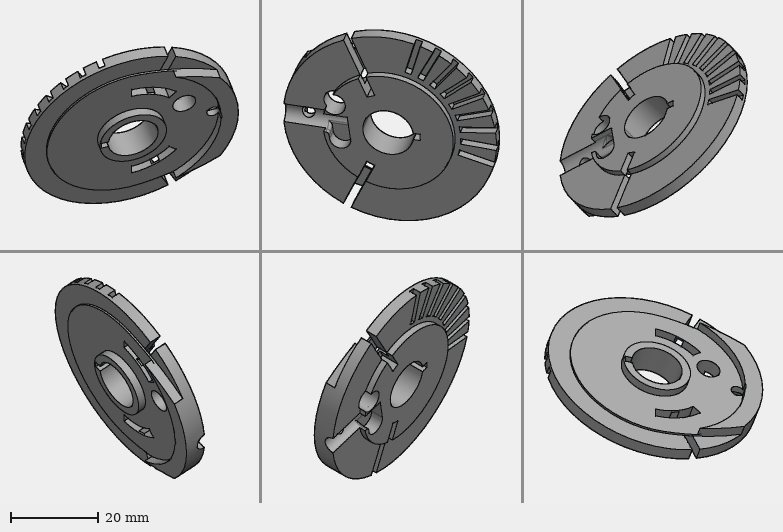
import cadquery as cq
import math

hub_face = 0.0
disc_face = 1.6
disc_back = 4.5
pad_back = 5.0
rear_face = 7.0
clearance = 1.0

rim_radius = 50.65 / 2
front_hub_radius = 15.5
bore_radius = 6.0
rear_hub_radius = 8.0
pad_radius = 20.15
lobe_inner_radius = 21.15

key_width = 1.7
key_reach = 7.6

flank_radius = 52.0
flank_tangent_y = 2.2

notch_count = 9
half_turn = 180.0
notch_first_angle = -12.8
notch_pitch = 11.0
notch_width = 1.5
notch_depth = 2.0
notch_inner_radius = 16.8

slot_angle = 66.5
slot_width = 2.0
slot_inner_radius = 10.25

groove_floor = 2.0
groove_inner_radius = 12.85
groove_outer_radius = 15.25
groove_span = 45.0

channel_radius = 2.5
channel_axis = 1.3
pocket_radius = 2.5
pocket_floor = channel_axis + 1.9
pocket_center_y = 11.9
pocket_tilt = 7.4
pocket_low_z = -3.85
pocket_edge_fillet = 0.8

through_holes = [(5.5, 12.9, 5.5), (3.0, 19.85, 0.0)]


def cylinder(radius, x_start, x_end, y=0.0, z=0.0):
    """Cylinder parallel to X."""
    return cq.Workplane("YZ", origin=(x_start, 0, 0)).center(y, z).circle(radius).extrude(x_end - x_start)


def block(x_start, x_end, y_start, y_end, z_start, z_end):
    """Box given by its limits along each axis."""
    size = (x_end - x_start, y_end - y_start, z_end - z_start)
    return cq.Workplane("XY").box(*size, centered=False).translate((x_start, y_start, z_start))


def turned(body, angle):
    """Turn a body about the X axis, from +Y towards +Z."""
    return body.rotate((0, 0, 0), (1, 0, 0), angle)


def cam_region(x_start, x_end):
    """Part of the disc on the +Y side that lies between the two flank arcs."""
    tangent_z = math.sqrt(pad_radius**2 - flank_tangent_y**2)
    offset = (pad_radius - flank_radius) / pad_radius
    region = block(x_start, x_end, flank_tangent_y, rim_radius, -rim_radius, rim_radius)
    region = region.intersect(cylinder(rim_radius, x_start, x_end))
    for side in (1, -1):
        flank = cylinder(flank_radius, x_start, x_end, offset * flank_tangent_y, offset * side * tangent_z)
        region = region.intersect(flank)
    return region


def make_blank():
    """Disc with its front hub, rear pad, cam lobe and rear hub."""
    pad = cylinder(pad_radius, disc_back, pad_back).union(cam_region(disc_back, pad_back))
    lobe = cam_region(pad_back, rear_face).cut(cylinder(lobe_inner_radius, pad_back, rear_face))
    blank = cylinder(rim_radius, disc_face, disc_back)
    blank = blank.union(cylinder(front_hub_radius, hub_face, disc_face))
    blank = blank.union(pad)
    blank = blank.union(lobe)
    return blank.union(cylinder(rear_hub_radius, disc_back, rear_face))


def make_bore():
    """Keyed bore through both hubs."""
    keyway = block(hub_face, rear_face, -key_reach, 0, -key_width / 2, key_width / 2)
    return cylinder(bore_radius, hub_face, rear_face).union(keyway)


def make_notch(angle):
    """Shallow radial notch, open at the rim."""
    outer = rim_radius + clearance
    half = notch_width / 2
    notch = block(disc_face, disc_face + notch_depth, notch_inner_radius, outer, -half, half)
    return turned(notch, angle)


def make_slot(angle):
    """Radial slot through the front hub and the disc, down to the pad."""
    half = slot_width / 2
    slot = block(hub_face, disc_back, slot_inner_radius, rim_radius + clearance, -half, half)
    return turned(slot, angle)


def make_groove(angle):
    """Arc groove, open at the back of the pad and crossing the deep slot."""
    groove = (
        cq.Workplane("XY")
        .moveTo(groove_floor, groove_inner_radius)
        .lineTo(pad_back, groove_inner_radius)
        .lineTo(pad_back, groove_outer_radius)
        .lineTo(groove_floor, groove_outer_radius)
        .close()
        .revolve(groove_span, (0, 0, 0), (1, 0, 0))
    )
    return turned(groove, angle - groove_span / 2)


def make_channel_pocket():
    """Channel from the rim, ending on the inner side of the tilted pocket."""
    tilt = math.radians(pocket_tilt)
    inner_y = pocket_center_y - pocket_radius / math.cos(tilt)
    top_end_y = inner_y + channel_radius * math.tan(tilt)
    low_end_y = inner_y - channel_radius * math.tan(tilt)
    outer_y = rim_radius + clearance
    footprint = (
        cq.Workplane("YZ")
        .moveTo(top_end_y, channel_radius)
        .lineTo(outer_y, channel_radius)
        .lineTo(outer_y, -channel_radius)
        .lineTo(low_end_y, -channel_radius)
        .close()
        .extrude(channel_axis + channel_radius)
    )
    channel = (
        cq.Workplane("XZ")
        .moveTo(hub_face, channel_radius)
        .lineTo(channel_axis, channel_radius)
        .threePointArc((channel_axis + channel_radius, 0), (channel_axis, -channel_radius))
        .lineTo(hub_face, -channel_radius)
        .close()
        .extrude(-outer_y)
        .intersect(footprint)
    )

    length = -pocket_low_z / math.cos(tilt)
    pocket = cylinder(pocket_radius, hub_face, pocket_floor)
    pocket = pocket.union(cylinder(pocket_radius, hub_face, pocket_floor, 0, -length))
    pocket = pocket.union(block(hub_face, pocket_floor, -pocket_radius, pocket_radius, -length, 0))
    pocket = turned(pocket, -pocket_tilt).translate((0, pocket_center_y, 0))
    tool = channel.union(pocket)

    margin = 0.1
    mouth = cq.selectors.BoxSelector(
        (hub_face, top_end_y + pocket_edge_fillet, -channel_radius - margin),
        (pocket_floor + margin, pocket_center_y + pocket_radius, channel_radius - margin),
    )
    return tool.edges(mouth - cq.selectors.StringSyntaxSelector("%CIRCLE")).fillet(pocket_edge_fillet)


result = make_blank().cut(make_bore())
for index in range(notch_count):
    result = result.cut(make_notch(half_turn - notch_first_angle - index * notch_pitch))
for side in (1, -1):
    result = result.cut(make_slot(side * slot_angle)).cut(make_groove(side * slot_angle))
result = result.cut(make_channel_pocket())
for diameter, y, z in through_holes:
    result = result.cut(cylinder(diameter / 2, hub_face, rear_face, y, z))